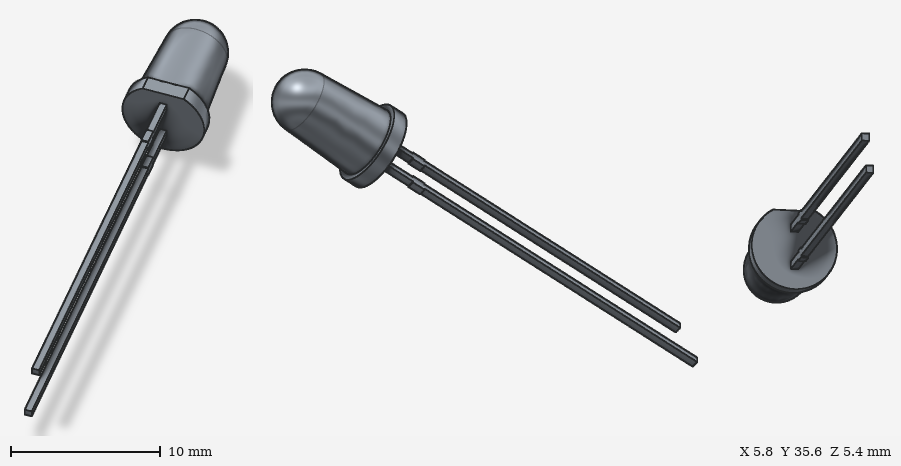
import cadquery as cq
import math


total_length = 35.6
body_length = 8.6

flange_diameter = 5.8
flange_thickness = 1.07
flange_height = 5.4
flange_radius = flange_diameter / 2
flat_height = flange_height - flange_radius

lens_base_radius = flat_height
dome_radius = 2.2
dome_center_y = body_length - dome_radius

lead_width = 0.5
lead_spacing = 2.55
lead_embed = flange_thickness / 2
long_lead_length = total_length - body_length
lead_length_difference = 1.45
short_lead_length = long_lead_length - lead_length_difference

tab_start = 2.67
tab_length = 1.0
tab_projection = 0.1


def make_flange():
    """Disc with one flat facing +Z."""
    disc = cq.Workplane("XZ").circle(flange_radius).extrude(-flange_thickness)
    flat_cut_depth = flange_radius - flat_height
    flat_cut = cq.Workplane("XY").box(
        flange_diameter, flange_thickness, flat_cut_depth, centered=(True, False, False)
    )
    return disc.cut(flat_cut.translate((0, 0, flat_height)))


def make_lens():
    """Revolved barrel whose tapered side runs tangent into the spherical dome."""
    barrel_rise = dome_center_y - flange_thickness
    center_distance = math.hypot(lens_base_radius, barrel_rise)
    draft = math.acos(dome_radius / center_distance) - math.atan2(barrel_rise, lens_base_radius)

    def dome_point(angle):
        return (dome_center_y + dome_radius * math.sin(angle), dome_radius * math.cos(angle))

    mid_angle = (draft + math.pi / 2) / 2
    profile = (
        cq.Workplane("YZ")
        .moveTo(0, 0)
        .lineTo(0, lens_base_radius)
        .lineTo(flange_thickness, lens_base_radius)
        .lineTo(*dome_point(draft))
        .threePointArc(dome_point(mid_angle), (body_length, 0))
        .close()
    )
    return profile.revolve(360, (0, 0, 0), (1, 0, 0))


def make_bar(start, end, bottom, top):
    """Bar one lead wide, from start to end below the flange and from bottom to top in Z."""
    bar = cq.Workplane("XY").box(lead_width, end - start, top - bottom, centered=(True, False, False))
    return bar.translate((0, -end, bottom))


def make_lead(center_z, length):
    """Square lead with a stand-off tab projecting above and below it."""
    bottom = center_z - lead_width / 2
    top = center_z + lead_width / 2
    lead = make_bar(-lead_embed, length, bottom, top)
    tab = make_bar(tab_start, tab_start + tab_length, bottom - tab_projection, top + tab_projection)
    return lead.union(tab)


short_lead = make_lead(lead_spacing / 2, short_lead_length)
long_lead = make_lead(-lead_spacing / 2, long_lead_length)

result = make_flange().union(make_lens()).union(short_lead).union(long_lead)